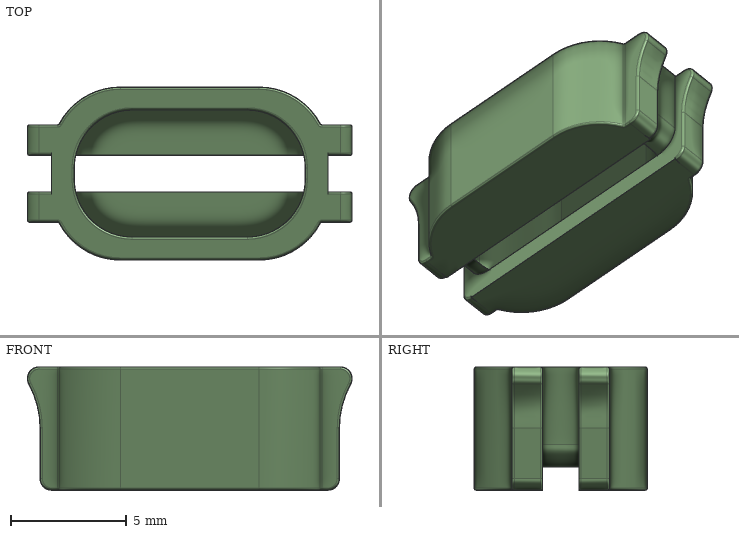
import cadquery as cq
import math

LENGTH = 14.07
WIDTH = 7.5
HEIGHT = 5.35

BODY_LENGTH = 12.0
BODY_CORNER_RADIUS = 3.0
WALL = 1.0
CAVITY_CORNER_RADIUS = 2.5
FLOOR = WALL

SLOT_WIDTH = 1.58
SLOT_END_RADIUS = 0.98

EARS_WIDTH = 4.22
EARS_SHANK_LENGTH = 12.97
EAR_CORNER_RADIUS = 0.5
FLARE_START_HEIGHT = 2.69

EDGE_RADIUS = 0.1

TOLERANCE = 0.01


def rounded_block(length, width, height, corner_radius):
    """Upright block on the XY plane with rounded vertical corners."""
    block = cq.Workplane("XY").box(length, width, height, centered=(True, True, False))
    return block.edges("|Z").fillet(corner_radius)


def ear_profile():
    """Closed outline in XZ of both ends' ears, joined through the middle of the body."""
    shank_x = EARS_SHANK_LENGTH / 2
    radius = EAR_CORNER_RADIUS
    tip_x = LENGTH / 2 - radius
    tip_z = HEIGHT - radius

    rise = tip_z - FLARE_START_HEIGHT
    offset = tip_x - shank_x
    flare_radius = (rise**2 + offset**2 - radius**2) / (2 * (radius + offset))
    flare_angle = math.asin(rise / (flare_radius + radius))

    def flare_point(angle):
        x = shank_x + flare_radius * (1 - math.cos(angle))
        return x, FLARE_START_HEIGHT + flare_radius * math.sin(angle)

    def tip_point(angle):
        return tip_x + radius * math.cos(angle), tip_z + radius * math.sin(angle)

    diagonal = radius * math.sqrt(0.5)
    foot_x = shank_x - radius
    tip_middle_angle = (math.pi / 2 - flare_angle) / 2
    return (
        cq.Workplane("XZ")
        .lineTo(foot_x, 0)
        .threePointArc((foot_x + diagonal, radius - diagonal), (shank_x, radius))
        .lineTo(shank_x, FLARE_START_HEIGHT)
        .threePointArc(flare_point(flare_angle / 2), flare_point(flare_angle))
        .threePointArc(tip_point(tip_middle_angle), (tip_x, HEIGHT))
        .lineTo(0, HEIGHT)
        .mirrorY()
    )


def outer_edges(solid):
    """Edges to soften around the body and ears, leaving out smooth seams and edges across an ear."""
    ear_side = EARS_WIDTH / 2
    chosen = []
    for edge in solid.edges().vals():
        center = edge.Center()
        across_ear = abs(center.y) < ear_side - TOLERANCE
        body_seam = edge.BoundingBox().zlen > TOLERANCE and abs(center.y) > ear_side + TOLERANCE
        if not (across_ear or body_seam):
            chosen.append(edge)
    return solid.newObject(chosen)


def gap_side_edges(solid):
    """Edges of the ear faces that look into the gap, except where they meet the body."""
    chosen = []
    for edge in solid.edges().vals():
        box = edge.BoundingBox()
        on_gap_side = box.ylen < TOLERANCE and abs(abs(edge.Center().y) - SLOT_WIDTH / 2) < TOLERANCE
        if on_gap_side and abs(edge.Center().x) > BODY_LENGTH / 2 + TOLERANCE:
            chosen.append(edge)
    return solid.newObject(chosen)


body = rounded_block(BODY_LENGTH, WIDTH, HEIGHT, BODY_CORNER_RADIUS)
ears = ear_profile().extrude(EARS_WIDTH / 2, both=True)
result = outer_edges(body.union(ears)).fillet(EDGE_RADIUS)

gap_depth = (LENGTH - BODY_LENGTH) / 2
for side in (-1, 1):
    gap = cq.Workplane("XY").box(gap_depth, SLOT_WIDTH, HEIGHT, centered=(True, True, False))
    result = result.cut(gap.translate((side * (BODY_LENGTH + gap_depth) / 2, 0, 0)))
result = gap_side_edges(result).fillet(EDGE_RADIUS)

cavity_length = BODY_LENGTH - 2 * WALL
cavity_width = WIDTH - 2 * WALL
cavity = rounded_block(cavity_length, cavity_width, HEIGHT, CAVITY_CORNER_RADIUS)
result = result.cut(cavity.translate((0, 0, FLOOR)))
rim_zone = cq.selectors.BoxSelector(
    (-cavity_length / 2 - TOLERANCE, -cavity_width / 2 - TOLERANCE, HEIGHT - TOLERANCE),
    (cavity_length / 2 + TOLERANCE, cavity_width / 2 + TOLERANCE, HEIGHT + TOLERANCE),
)
result = result.edges(rim_zone).fillet(EDGE_RADIUS)

slot = cq.Workplane("XY").box(LENGTH, SLOT_WIDTH, FLOOR, centered=(True, True, False))
result = result.cut(slot)
for side in (-1, 1):
    edge_point = (side * BODY_LENGTH / 2, 0, FLOOR)
    end_edge = cq.selectors.NearestToPointSelector(edge_point)
    result = result.edges(end_edge).fillet(SLOT_END_RADIUS)